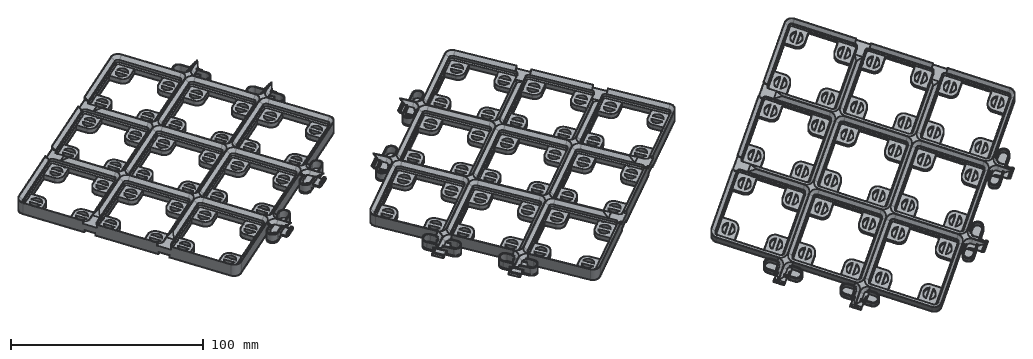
import cadquery as cq
cells = 3
frame_side = 126.0
pitch = frame_side / cells
tab_reach = 11.5
height = 7.8

lip_flat = 0.1
lip_slope = 2.0
foot_slope = 0.75
straight_height = 1.8
corner_radius = 4.0
throat_inset = lip_flat + lip_slope
wall_inset = throat_inset + foot_slope
throat_top = height - lip_slope
throat_bottom = throat_top - straight_height
pad_top = throat_bottom - foot_slope

pad_reach = 12.9
pad_radius = 4.0
magnet_offset = 8.0
magnet_diameter = 6.5
magnet_depth = 2.5
bar_width = 2.0

tab_width = 2 * corner_radius
tab_slope_run = 3.7
tab_foot_reach = tab_reach - tab_slope_run
tongue_thickness = 1.0
hook_thickness = 1.0
hook_height = 2.8
hook_bump = 0.4
bump_height = 1.7
hook_face = tab_reach - hook_bump
hook_back = hook_face - hook_thickness
slot_width = 6.2
slot_height = 1.5
slot_clearance = 0.1
catch_height = 1.0

clip_length = 21.0
clip_width = 6.3
clip_wall = 0.5
clip_floor = 0.5
clip_offset = 4.3
clip_gap_width = 7.7
clip_passage_height = 2.8
clip_pocket_width = clip_width - 2 * clip_wall
clip_pocket_length = clip_length - 2 * clip_wall


def box(x_min, x_max, y_min, y_max, z_min, z_max):
    """Block between the given limits."""
    block = cq.Workplane("XY").box(x_max - x_min, y_max - y_min, z_max - z_min, centered=False)
    return block.translate((x_min, y_min, z_min))


def along_x(profile, width):
    """Prism of an XZ profile, centred on the X axis."""
    return cq.Workplane("XZ").polyline(profile).close().extrude(width / 2, both=True)


def ridge_end():
    """Upper part of a rib with a sloping end, from the origin to +X."""
    return along_x(
        [(0, throat_top), (tab_foot_reach, throat_top), (tab_reach, height), (0, height)],
        tab_width,
    )


def socket_layer(inset, z, layer_height, taper=0):
    """Rounded square layer of the socket, centred on the origin."""
    side = pitch - 2 * inset
    outline = cq.Sketch().rect(side, side).vertices().fillet(corner_radius - inset)
    return cq.Workplane("XY").workplane(offset=z).placeSketch(outline).extrude(layer_height, taper=taper)


def make_socket():
    """Stepped opening of one cell, centred on the origin."""
    socket = socket_layer(wall_inset, 0, pad_top)
    socket = socket.union(socket_layer(wall_inset, pad_top, foot_slope, -45))
    socket = socket.union(socket_layer(throat_inset, throat_bottom, straight_height))
    return socket.union(socket_layer(throat_inset, throat_top, lip_slope, -45))


def make_pads():
    """Four corner pads of one cell with barred magnet holes, centred on the origin."""
    outer = pitch / 2 - throat_inset
    inner = pitch / 2 - pad_reach
    centre = pitch / 2 - magnet_offset
    pad = box(inner, outer, inner, outer, 0, pad_top)
    pad = pad.edges("|Z and <X and <Y").fillet(pad_radius)
    hole_floor = pad_top - magnet_depth
    hole = cq.Workplane("XY").circle(magnet_diameter / 2).extrude(magnet_depth)
    bar = cq.Workplane("XY").rect(magnet_diameter, bar_width).extrude(magnet_depth)
    pad = pad.cut(hole.cut(bar).translate((centre, centre, hole_floor)))
    pads = pad.union(pad.mirror("YZ"))
    return pads.union(pads.mirror("XZ"))


def make_tab(socket):
    """Ridge end and hooked tongue that start at the origin and point to +X."""
    ridge = ridge_end()
    tongue = along_x(
        [
            (0, 0),
            (hook_back, 0),
            (hook_face, tongue_thickness),
            (tab_reach, bump_height),
            (hook_face, hook_height),
            (hook_back, hook_height),
            (hook_back, tongue_thickness),
            (0, tongue_thickness),
        ],
        tab_width,
    )
    for side in (-1, 1):
        opening = socket.translate((pitch / 2, side * pitch / 2, 0))
        ridge = ridge.cut(opening)
        tongue = tongue.cut(opening)
    return ridge, tongue


def make_notch():
    """Space for a neighbour's tab, starting at the origin and running to +X."""
    catch = hook_face + slot_clearance
    groove = tab_reach + slot_clearance
    tongue_slot = along_x(
        [
            (0, 0),
            (groove, 0),
            (catch, catch_height),
            (groove, bump_height),
            (catch, hook_height + slot_clearance),
            (hook_back - slot_clearance, hook_height + slot_clearance),
            (hook_back - slot_clearance, slot_height),
            (0, slot_height),
        ],
        slot_width,
    )
    return ridge_end(), tongue_slot


def make_clip():
    """Stadium-shaped cup with an open middle and a passage for the tongue, lying along Y."""
    clip = cq.Workplane("XY").slot2D(clip_length, clip_width, 90).extrude(throat_top)
    pocket = cq.Workplane("XY").slot2D(clip_pocket_length, clip_pocket_width, 90)
    pocket = pocket.extrude(throat_top).translate((0, 0, clip_floor))
    half_pocket = clip_pocket_width / 2
    half_gap = clip_gap_width / 2
    middle = box(-half_pocket, half_pocket, -half_gap, half_gap, 0, throat_top)
    passage = box(-clip_width, clip_width, -half_gap, half_gap, 0, clip_passage_height)
    clip = clip.cut(pocket).cut(middle).cut(passage)
    return clip.translate((clip_offset, 0, 0))


def at_junctions(shape, edge):
    """Copies of a shape at the inner rib ends, along the X side and the Y side at one edge distance."""
    copies = []
    for number in range(1, cells):
        rib = number * pitch
        copies.append(shape.translate((edge, rib, 0)))
        copies.append(shape.rotate((0, 0, 0), (0, 0, 1), 90).translate((rib, edge, 0)))
    return copies


def make_frame():
    """Grid frame with sockets, pads, tabs and notches."""
    frame = box(0, frame_side, 0, frame_side, 0, height)
    frame = frame.edges("|Z").fillet(corner_radius)
    socket = make_socket()
    pads = make_pads()
    centres = [(number + 0.5) * pitch for number in range(cells)]
    for x in centres:
        for y in centres:
            frame = frame.cut(socket.translate((x, y, 0)))
            frame = frame.union(pads.translate((x, y, 0)))
    for feature in make_notch():
        for notch in at_junctions(feature, 0):
            frame = frame.cut(notch)
    for feature in make_tab(socket):
        for tab in at_junctions(feature, frame_side):
            frame = frame.union(tab)
    return frame


frame = make_frame()
clips = at_junctions(make_clip(), frame_side)

result = cq.Compound.makeCompound([frame.val(), *[clip.val() for clip in clips]])